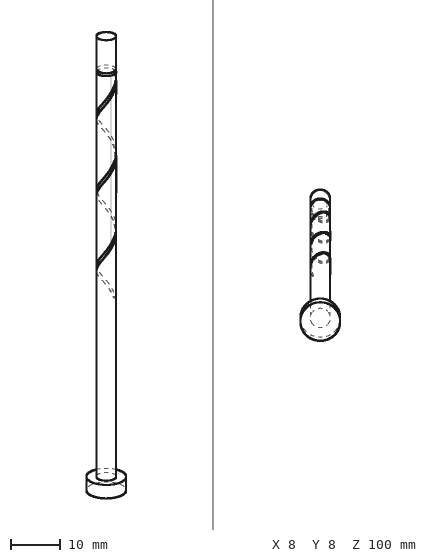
import cadquery as cq
import math

length = 100.0
head_diameter = 8.0
head_height = 3.0
shank_radius = 2.0

groove_radius = 0.3
ring_height = 92.4
helix_turns = 3
helix_height = 50.0
helix_pitch = helix_height / helix_turns
helix_top = 92.0
helix_start = helix_top - helix_height
start_angle = 90.0


def pin():
    head = cq.Workplane("XY").circle(head_diameter / 2).extrude(head_height)
    shank = cq.Workplane("XY").circle(shank_radius).extrude(length)
    return head.union(shank)


def ring_cutter():
    return cq.Workplane(cq.Solid.makeTorus(shank_radius, groove_radius, cq.Vector(0, 0, ring_height)))


def helix_cutter():
    path = cq.Wire.makeHelix(helix_pitch, helix_height, shank_radius)
    tangent = cq.Vector(0, 2 * math.pi * shank_radius, helix_pitch)
    section_plane = cq.Plane(origin=(shank_radius, 0, 0), xDir=(1, 0, 0), normal=tangent)
    cutter = cq.Workplane(section_plane).circle(groove_radius).sweep(cq.Workplane(path), isFrenet=True)
    return cutter.rotate((0, 0, 0), (0, 0, 1), start_angle).translate((0, 0, helix_start))


result = pin().cut(helix_cutter()).cut(ring_cutter())